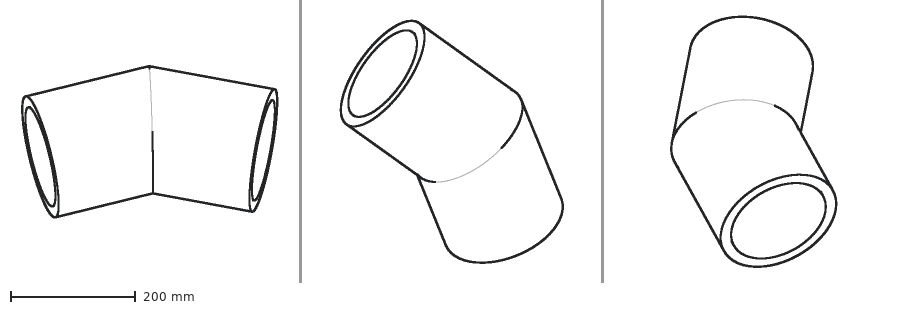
import cadquery as cq
import math

overall_length = 395.0
outer_diameter = 200.0
wall = 18.0
bend_angle = 30.0

outer_radius = outer_diameter / 2
inner_radius = outer_radius - wall
bend = math.radians(bend_angle)

leg_length = (overall_length - outer_radius * math.sin(bend)) / (1 + math.cos(bend))

miter_point = (0, leg_length)
end_point = (leg_length * math.sin(bend), leg_length * (1 + math.cos(bend)))


def mitred_rod(radius):
    """Solid round bar following the bent centreline with a sharp mitre."""
    centreline = cq.Workplane("XY").polyline([(0, 0), miter_point, end_point])
    return cq.Workplane("XZ").circle(radius).sweep(centreline, transition="right")


result = mitred_rod(outer_radius).cut(mitred_rod(inner_radius))